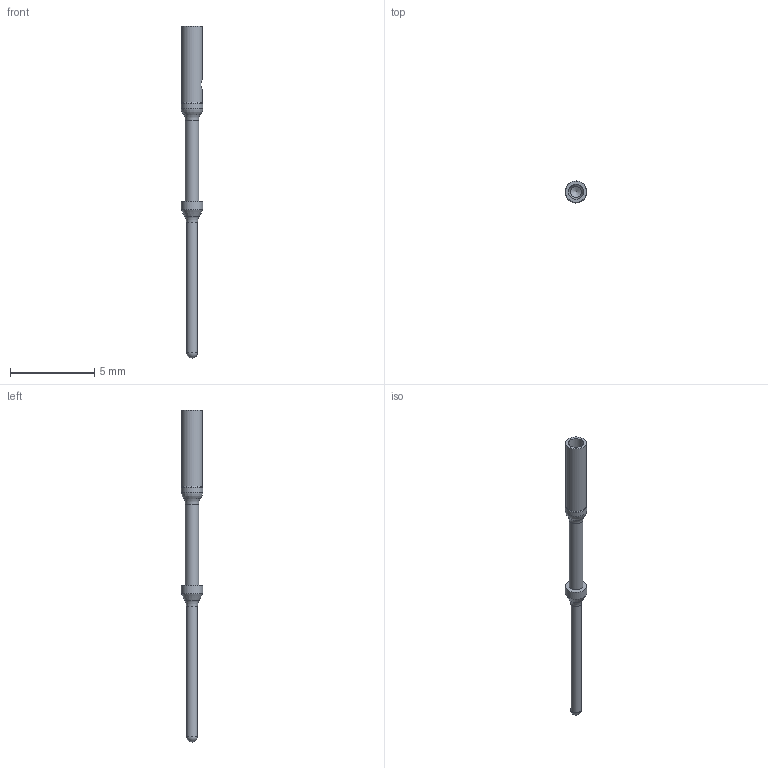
import cadquery as cq
import math

total_length = 19.7
body_radius = 0.65
sleeve_radius = 0.62
neck_radius = 0.4
pin_radius = 0.325

collar_top = 9.3
collar_bottom = 8.8
collar_cone_angle = 30
collar_root_fillet = 0.7

band_top = total_length - 4.59
band_chamfer_height = 0.06
band_bottom = total_length - 4.88
shoulder_bottom = total_length - 5.27
shoulder_radius = 0.55
neck_top = total_length - 5.6

bore_radius = 0.45
bore_end_radius = 0.325
bore_depth = 4.3
bore_taper_height = 0.3
drill_point_angle = 118

inspection_radius = 0.33
inspection_height = total_length - 3.48


def make_body():
    """Revolve the outer profile of the contact about Z."""
    tip_shift = pin_radius * math.sqrt(0.5)
    tip_middle = (tip_shift, pin_radius - tip_shift)
    shoulder_centre_radius = body_radius - shoulder_radius
    shoulder_angle = math.asin((band_bottom - shoulder_bottom) / shoulder_radius)
    shoulder_bottom_radius = shoulder_centre_radius + shoulder_radius * math.cos(shoulder_angle)
    shoulder_middle = (
        shoulder_centre_radius + shoulder_radius * math.cos(shoulder_angle / 2),
        band_bottom - shoulder_radius * math.sin(shoulder_angle / 2),
    )

    cone_angle = math.radians(collar_cone_angle)
    cone_end = collar_bottom - (body_radius - pin_radius) / math.tan(cone_angle)
    fillet_length = collar_root_fillet * math.tan(cone_angle / 2)
    cone_tangent_point = (
        pin_radius + fillet_length * math.sin(cone_angle),
        cone_end + fillet_length * math.cos(cone_angle),
    )

    profile = (
        cq.Workplane("XZ")
        .moveTo(0, 0)
        .threePointArc(tip_middle, (pin_radius, pin_radius))
        .lineTo(pin_radius, cone_end - fillet_length)
        .tangentArcPoint(cone_tangent_point, relative=False)
        .lineTo(body_radius, collar_bottom)
        .lineTo(body_radius, collar_top)
        .lineTo(neck_radius, collar_top)
        .lineTo(neck_radius, neck_top)
        .tangentArcPoint((shoulder_bottom_radius, shoulder_bottom), relative=False)
        .threePointArc(shoulder_middle, (body_radius, band_bottom))
        .lineTo(body_radius, band_top)
        .lineTo(sleeve_radius, band_top + band_chamfer_height)
        .lineTo(sleeve_radius, total_length)
        .lineTo(0, total_length)
        .close()
    )
    return profile.revolve(360, (0, 0), (0, 1))


def make_bore():
    """Blind wire bore: a cylinder, a short taper and a drill point."""
    taper_top = total_length - bore_depth
    taper_bottom = taper_top - bore_taper_height
    point_height = bore_end_radius / math.tan(math.radians(drill_point_angle / 2))
    profile = (
        cq.Workplane("XZ")
        .moveTo(0, total_length)
        .lineTo(bore_radius, total_length)
        .lineTo(bore_radius, taper_top)
        .lineTo(bore_end_radius, taper_bottom)
        .lineTo(0, taper_bottom - point_height)
        .close()
    )
    return profile.revolve(360, (0, 0), (0, 1))


def make_inspection_hole():
    """Radial hole from the axis out through the +X wall."""
    return (
        cq.Workplane("YZ")
        .center(0, inspection_height)
        .circle(inspection_radius)
        .extrude(body_radius)
    )


result = make_body().cut(make_bore()).cut(make_inspection_hole())